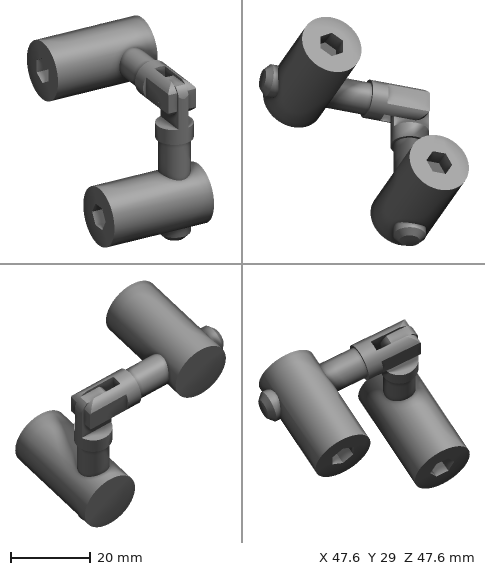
import cadquery as cq


overall_size = 47.6

barrel_dia = 16.0
barrel_length = 29.0
barrel_back = 7.0
barrel_reach = 28.95
rod_dia = 8.3
rod_reach = overall_size - barrel_dia / 2
tip_chamfer = 1.5
hex_across_flats = 6.0
hex_depth = 5.0

head_dia = 9.8
collar_start = 11.6
collar_end = 7.45
fork_width = 8.0
slot_width = 3.05
fork_end = 4.0
fork_end_radius = 4.75
tongue_width = 2.85
tongue_end = fork_end
tongue_end_radius = 5.0
pin_dia = 4.0


def x_cylinder(diameter, x_from, x_to):
    """Cylinder on the X axis."""
    return cq.Workplane("YZ", origin=(x_from, 0, 0)).circle(diameter / 2).extrude(x_to - x_from)


def y_cylinder(diameter, length):
    """Cylinder on the Y axis, centred on the pivot."""
    return cq.Workplane("XZ").circle(diameter / 2).extrude(length / 2, both=True)


def x_slab(width, x_from, x_to):
    """Slab of the given Y width, as tall as the head."""
    return cq.Workplane("XY").box(x_to - x_from, width, head_dia, centered=(False, True, True)).translate(
        (x_from, 0, 0)
    )


def clamp():
    """Rod with a chamfered tip through a barrel that has a hex socket in its -Y end."""
    rod = x_cylinder(rod_dia, -rod_reach, -collar_start).faces("<X").chamfer(tip_chamfer)
    barrel_front = barrel_back - barrel_length
    barrel = (
        cq.Workplane("XZ", origin=(-barrel_reach, barrel_back, 0))
        .circle(barrel_dia / 2)
        .extrude(barrel_length)
    )
    socket = (
        cq.Workplane("XZ", origin=(-barrel_reach, barrel_front, 0))
        .polygon(6, hex_across_flats, circumscribed=True)
        .extrude(-hex_depth)
    )
    return rod.union(barrel).cut(socket)


def head(width, end, end_radius):
    """Collar with a flat-sided lug whose end is rounded about the pivot and cut off flat."""
    collar = x_cylinder(head_dia, -collar_start, -collar_end)
    round_end = y_cylinder(2 * end_radius, width)
    lug_bar = x_cylinder(head_dia, -collar_end, end)
    straight = lug_bar.intersect(x_slab(width, -collar_end, 0))
    rounded = lug_bar.intersect(x_slab(width, 0, end)).intersect(round_end)
    pin_hole = y_cylinder(pin_dia, width)
    return collar.union(straight).union(rounded).cut(pin_hole)


def make_fork_arm():
    slot = x_slab(slot_width, -collar_end, fork_end)
    return clamp().union(head(fork_width, fork_end, fork_end_radius).cut(slot))


def make_tongue_arm():
    """Built along -X, then swung about the pivot to point along -Z."""
    arm = clamp().union(head(tongue_width, tongue_end, tongue_end_radius))
    return arm.rotate((0, 0, 0), (0, 1, 0), -90)


def make_pin():
    return y_cylinder(pin_dia, fork_width)


fork_arm = make_fork_arm()
tongue_arm = make_tongue_arm()
pin = make_pin()

result = cq.Compound.makeCompound([fork_arm.val(), tongue_arm.val(), pin.val()])